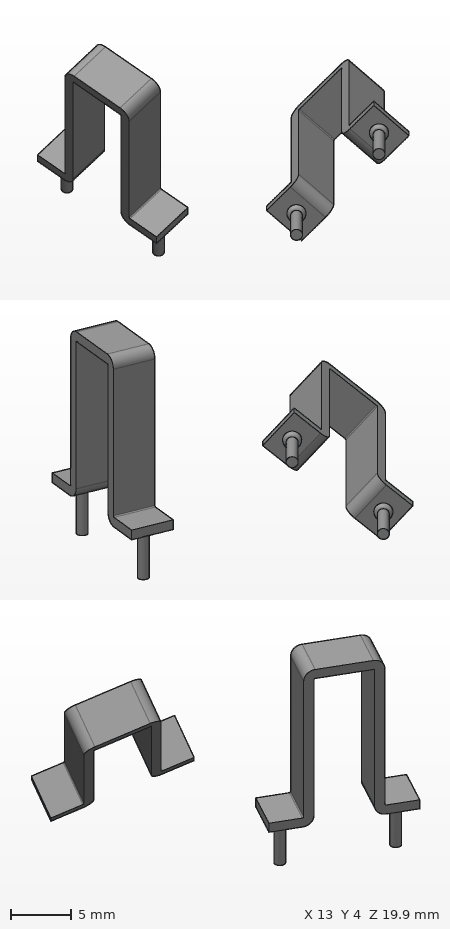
import cadquery as cq

overall_width = 13.0
overall_height = 19.9
strip_depth = 4.0
thickness = 0.9
bridge_width = 7.0
inner_bend_radius = 0.1
outer_bend_radius = inner_bend_radius + thickness

pin_spacing = 9.99
pin_diameter = 1.0
pin_length = 4.5
collar_diameter = 1.6
collar_height = 0.5

foot_bottom = pin_length
foot_top = foot_bottom + thickness
half_width = overall_width / 2
leg_outer = bridge_width / 2
leg_inner = leg_outer - thickness


def make_strip():
    """Hat-shaped strip with concentric inner and outer bends."""
    right_outer = [
        (leg_outer, overall_height),
        (leg_outer, foot_top),
        (half_width, foot_top),
        (half_width, foot_bottom),
        (leg_inner, foot_bottom),
        (leg_inner, overall_height - thickness),
    ]
    left_outer = [(-x, z) for x, z in reversed(right_outer)]
    strip = (
        cq.Workplane("XZ")
        .polyline(right_outer + left_outer)
        .close()
        .extrude(strip_depth / 2, both=True)
    )

    def bend_edges(corners):
        points = [(side * x, 0, z) for x, z in corners for side in (-1, 1)]
        edges = strip.edges("|Y").vals()
        tolerance = 0.002
        return [
            edge for edge in edges
            if any((edge.Center() - cq.Vector(*point)).Length < tolerance for point in points)
        ]

    outer_corners = [(leg_outer, overall_height), (leg_inner, foot_bottom)]
    inner_corners = [(leg_inner, overall_height - thickness), (leg_outer, foot_top)]
    strip = strip.newObject(bend_edges(outer_corners)).fillet(outer_bend_radius)
    return strip.newObject(bend_edges(inner_corners)).fillet(inner_bend_radius)


def make_pin(x):
    """Round pin whose collar swells along a quarter ellipse up to the underside of the foot."""
    pin_radius = pin_diameter / 2
    collar_radius = collar_diameter / 2
    collar_overhang = collar_radius - pin_radius
    profile = (
        cq.Workplane("XZ")
        .lineTo(-pin_radius, 0)
        .lineTo(-pin_radius, foot_bottom - collar_height)
        .ellipseArc(collar_overhang, collar_height, 180, 270, startAtCurrent=True, sense=-1)
        .lineTo(0, foot_bottom)
        .close()
    )
    return profile.revolve(360, (0, 0), (0, 1)).translate((x, 0, 0))


result = make_strip()
for side in (-1, 1):
    result = result.union(make_pin(side * pin_spacing / 2))